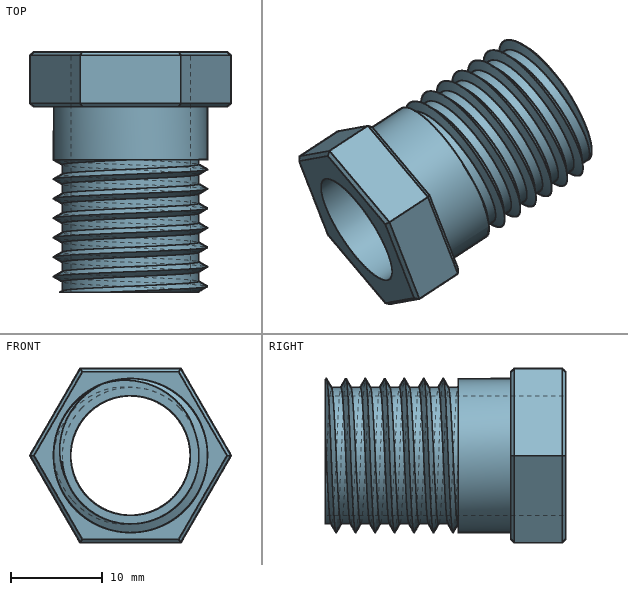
import cadquery as cq
import math

total_length = 26.2

head_flats = 19.0
head_length = 6.0
head_chamfer = 0.4

thread_length = 14.45
thread_diameter = 16.8
root_diameter = 14.9
bore_diameter = 13.0

thread_pitch = 2.12
thread_angle = 60.0
first_crest = 0.65
root_overlap = 0.1

head_start = total_length - head_length
collar_length = head_start - thread_length
thread_radius = thread_diameter / 2
root_radius = root_diameter / 2


def rod(start, length, diameter):
    """Cylinder along local Z, starting at the given height."""
    return cq.Workplane("XY").workplane(offset=start).circle(diameter / 2).extrude(length)


def make_head():
    corner_diameter = head_flats / math.cos(math.radians(30))
    prism = cq.Workplane("XY").workplane(offset=head_start).polygon(6, corner_diameter).extrude(head_length)
    return prism.faces("<Z or >Z").edges().chamfer(head_chamfer)


def make_thread():
    """Core with a helical V ridge, both overrunning the two ends and then trimmed flush."""
    start = first_crest - thread_pitch
    turns = math.ceil((thread_length - start) / thread_pitch) + 1
    height = turns * thread_pitch
    inner_radius = root_radius - root_overlap
    half_width = (thread_radius - inner_radius) * math.tan(math.radians(thread_angle / 2))

    helix = cq.Wire.makeHelix(thread_pitch, height, root_radius)
    path = cq.Workplane(helix.translate(cq.Vector(0, 0, start)))
    ridge = (
        cq.Workplane("XZ")
        .moveTo(inner_radius, start - half_width)
        .lineTo(thread_radius, start)
        .lineTo(inner_radius, start + half_width)
        .close()
        .sweep(path, isFrenet=True)
    )
    core = rod(start - thread_pitch, height + 2 * thread_pitch, root_diameter)
    trim_diameter = 2 * thread_diameter
    return core.union(ridge).intersect(rod(0, thread_length, trim_diameter))


collar = rod(thread_length, collar_length, thread_diameter)
bore = rod(0, total_length, bore_diameter)

body = make_thread().union(collar).union(make_head()).cut(bore)
result = body.rotate((0, 0, 0), (1, 0, 0), -90)